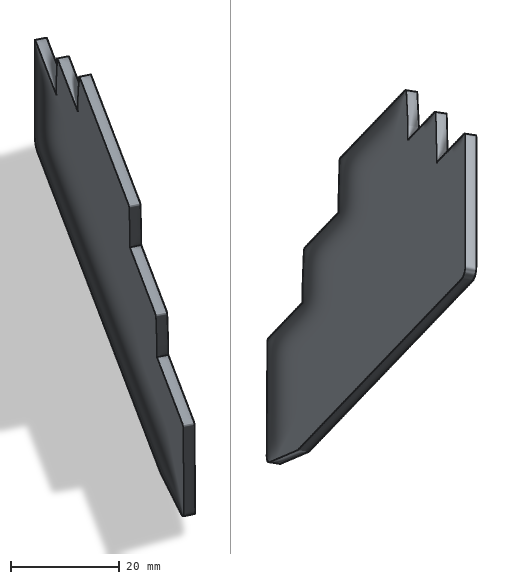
import cadquery as cq

length = 102.225
thickness = 2.2
height = 49.98

lower_step_height = 28.775
upper_step_height = 39.375
riser_foot = 2.9

left_lower_riser = 14.8
left_lower_lean = 0.42
left_upper_riser = 29.5
left_upper_lean = 0.9

right_upper_riser = 65.25
right_upper_lean = 0.5
right_lower_riser = 83.8
right_lower_lean = 0.75
end_lean = 0.38

corner_cut_length = 16.1
corner_cut_height = 3.9

top_radius = 0.6
bottom_radius = 2.0


def step_corners():
    """Convex corners of the top edge, from left to right."""
    return [
        (0, lower_step_height),
        (left_lower_riser + left_lower_lean, upper_step_height),
        (left_upper_riser + left_upper_lean, height),
        (right_upper_riser - right_upper_lean, height),
        (right_lower_riser - right_lower_lean, upper_step_height),
        (length - end_lean, lower_step_height),
    ]


def make_plate():
    """Extrude the stepped outline, centred on the thickness."""
    left_end, left_lower, left_upper, right_upper, right_lower, right_end = step_corners()
    outline = [
        (0, 0),
        left_end,
        (left_lower_riser, lower_step_height),
        (left_lower_riser, lower_step_height + riser_foot),
        left_lower,
        (left_upper_riser, upper_step_height),
        (left_upper_riser, upper_step_height + riser_foot),
        left_upper,
        right_upper,
        (right_upper_riser, upper_step_height + riser_foot),
        (right_upper_riser, upper_step_height),
        right_lower,
        (right_lower_riser, lower_step_height + riser_foot),
        (right_lower_riser, lower_step_height),
        right_end,
        (length, corner_cut_height),
        (length - corner_cut_length, 0),
    ]
    return cq.Workplane("XZ").polyline(outline).close().extrude(thickness / 2, both=True)


def round_corners(plate, corners, radius):
    """Round the edges that run through the thickness at the given (x, z) corners."""
    for x, z in corners:
        edge = plate.edges("|Y").edges(cq.NearestToPointSelector((x, 0, z)))
        plate = edge.fillet(radius)
    return plate


result = make_plate()
result = round_corners(result, step_corners(), top_radius)
result = round_corners(result, [(0, 0), (length, corner_cut_height)], bottom_radius)